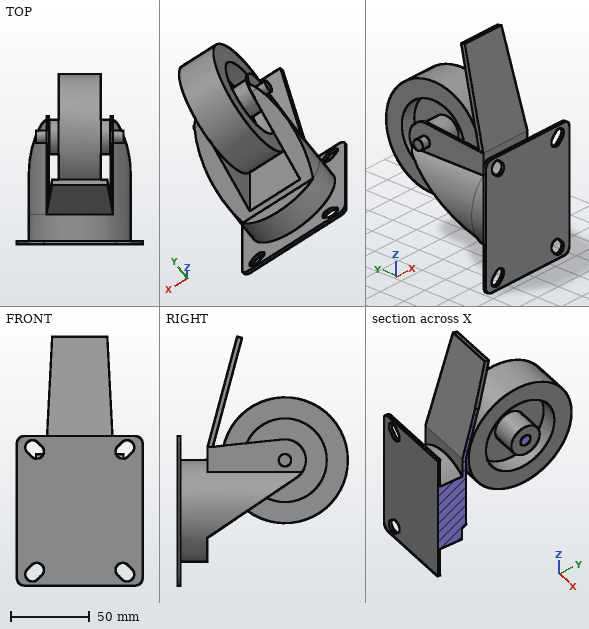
import cadquery as cq
import math


plate_width = 80.0
plate_height = 95.0
plate_thickness = 2.0
plate_corner_radius = 5.0
slot_x = 28.6
slot_z = 38.9
slot_width = 9.0
slot_travel = 3.8
slot_angle = 45

boss_radius = 32.4
boss_back = 19.0
arm_outer = 21.2
arm_thickness = 1.6
arm_inner = arm_outer - arm_thickness
arm_end_radius = 13.3
arm_top_z = 40.3
arm_bottom_z = -17.2

wheel_radius = plate_width / 2
wheel_half_width = 13.5
wheel_y = 68.1
wheel_z = 32.0
recess_radius = 26.5
wheel_web_thickness = 3.2
hub_radius = 11.0
hub_half_length = 19.3

pin_radius = 4.0
pin_half_length = 27.8

lever_length = 72.7
lever_thickness = 3.3
lever_tilt = 15
lever_top_half_width = 17.5


def cylinder_x(radius, half_length):
    """Cylinder on the wheel axis, centred on X = 0."""
    return (
        cq.Workplane("YZ", origin=(-half_length, wheel_y, wheel_z))
        .circle(radius)
        .extrude(2 * half_length)
    )


def box_between(x_range, y_range, z_range):
    """Box given by its lower and upper limits on each axis."""
    sizes = [high - low for low, high in (x_range, y_range, z_range)]
    corner = (x_range[0], y_range[0], z_range[0])
    return cq.Workplane("XY").box(*sizes, centered=False).translate(corner)


def make_plate():
    """Rounded plate with a slot near each corner, pointing at the middle."""
    plate = (
        cq.Workplane("XZ")
        .rect(plate_width, plate_height)
        .extrude(-plate_thickness)
        .edges("|Y")
        .fillet(plate_corner_radius)
    )
    for x_sign in (-1, 1):
        for z_sign in (-1, 1):
            slot = (
                cq.Workplane("XZ")
                .center(x_sign * slot_x, z_sign * slot_z)
                .slot2D(slot_travel + slot_width, slot_width, x_sign * z_sign * slot_angle)
                .extrude(-plate_thickness)
            )
            plate = plate.cut(slot)
    return plate


def tangent_point(z_start, side):
    """Point where a line from the boss's back face touches the arm end.

    Side is 1 for the upper tangent and -1 for the lower one.
    """
    dy = boss_back - wheel_y
    dz = z_start - wheel_z
    direction = math.atan2(dz, dy) - side * math.acos(arm_end_radius / math.hypot(dy, dz))
    return (
        wheel_y + arm_end_radius * math.cos(direction),
        wheel_z + arm_end_radius * math.sin(direction),
    )


def arm_profile(half_width):
    """Arm side outline, extruded symmetrically about X = 0."""
    return (
        cq.Workplane("YZ")
        .moveTo(boss_back, arm_bottom_z)
        .lineTo(boss_back, arm_top_z)
        .lineTo(*tangent_point(arm_top_z, 1))
        .threePointArc((wheel_y + arm_end_radius, wheel_z), tangent_point(arm_bottom_z, -1))
        .close()
        .extrude(half_width, both=True)
    )


def make_fork():
    """Two flat arms whose lower outsides swell out to the boss cylinder."""
    arm_end_y = wheel_y + arm_end_radius
    long_cylinder = cq.Workplane("XZ").circle(boss_radius).extrude(-arm_end_y)
    swells = arm_profile(boss_radius).intersect(long_cylinder)
    opening = box_between(
        (-arm_inner, arm_inner), (boss_back, arm_end_y), (-boss_radius, wheel_z + arm_end_radius)
    )
    front_web = box_between(
        (-arm_outer, arm_outer), (boss_back, boss_back + lever_thickness), (arm_bottom_z, arm_top_z)
    ).intersect(arm_profile(arm_outer))
    return arm_profile(arm_outer).union(swells).cut(opening).union(front_web)


def make_lever():
    """Tapered flat lever, leaning back over the wheel from the top of the fork."""
    return (
        cq.Workplane("XZ")
        .polyline([
            (-arm_outer, 0),
            (arm_outer, 0),
            (lever_top_half_width, lever_length),
            (-lever_top_half_width, lever_length),
        ])
        .close()
        .extrude(-lever_thickness)
        .rotate((0, 0, 0), (1, 0, 0), -lever_tilt)
        .translate((0, boss_back, arm_top_z))
    )


def make_housing():
    """Plate, boss, fork, lever and fixed axle pin as one solid."""
    boss = cq.Workplane("XZ").circle(boss_radius).extrude(-boss_back)
    pin = cylinder_x(pin_radius, pin_half_length)
    return make_plate().union(boss).union(make_fork()).union(make_lever()).union(pin)


def make_wheel():
    """Wheel recessed on both sides, with a long hub bored for the pin."""
    tyre = cylinder_x(wheel_radius, wheel_half_width)
    tyre = tyre.cut(cylinder_x(recess_radius, wheel_half_width))
    web = cylinder_x(recess_radius, wheel_web_thickness / 2)
    hub = cylinder_x(hub_radius, hub_half_length)
    bore = cylinder_x(pin_radius, hub_half_length)
    return tyre.union(web).union(hub).cut(bore)


housing = make_housing()
wheel = make_wheel()
result = cq.Compound.makeCompound([housing.val(), wheel.val()])